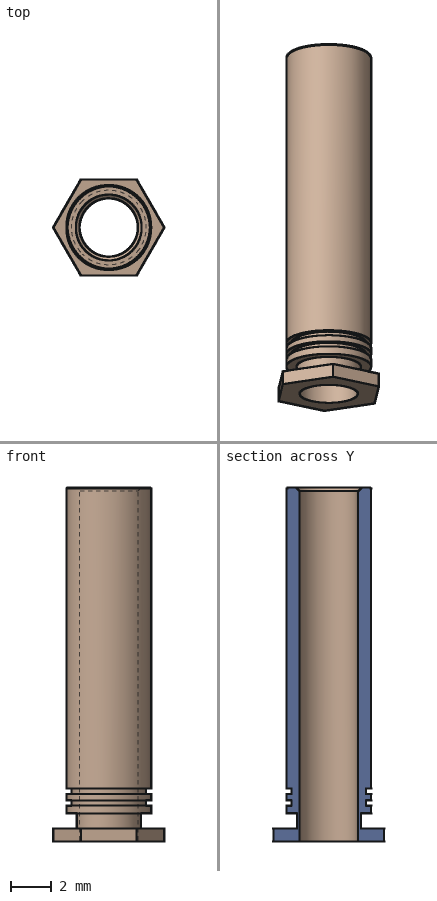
import cadquery as cq
import math

total_height = 17.46
hex_across_flats = 4.75
hex_across_corners = hex_across_flats / math.cos(math.pi / 6)
hex_thickness = 0.66

sleeve_diameter = 4.19
sleeve_bottom = 1.4
neck_diameter = 3.18
rim_chamfer = 0.07

groove_diameter = 3.68
groove_width = 0.26
groove_bottoms = (1.78, 2.35)

bore_diameter = 2.86
mouth_diameter = 3.25
mouth_depth = (mouth_diameter - bore_diameter) / 2


def cylinder(diameter, bottom, top):
    return cq.Workplane("XY").workplane(offset=bottom).circle(diameter / 2).extrude(top - bottom)


def hex_flange():
    """Hexagonal base with two corners on the X axis."""
    return cq.Workplane("XY").polygon(6, hex_across_corners).extrude(hex_thickness)


def grooved_sleeve():
    sleeve = cylinder(sleeve_diameter, sleeve_bottom, total_height)
    sleeve = sleeve.faces(">Z").edges().chamfer(rim_chamfer)
    for bottom in groove_bottoms:
        top = bottom + groove_width
        ring = cylinder(sleeve_diameter, bottom, top).cut(cylinder(groove_diameter, bottom, top))
        sleeve = sleeve.cut(ring)
    return sleeve


def bore():
    """Through hole that widens in a cone at the upper end."""
    mouth = (
        cq.Workplane("XY")
        .workplane(offset=total_height - mouth_depth)
        .circle(bore_diameter / 2)
        .workplane(offset=mouth_depth)
        .circle(mouth_diameter / 2)
        .loft()
    )
    return cylinder(bore_diameter, 0, total_height).union(mouth)


neck = cylinder(neck_diameter, hex_thickness, sleeve_bottom)
result = hex_flange().union(neck).union(grooved_sleeve()).cut(bore())